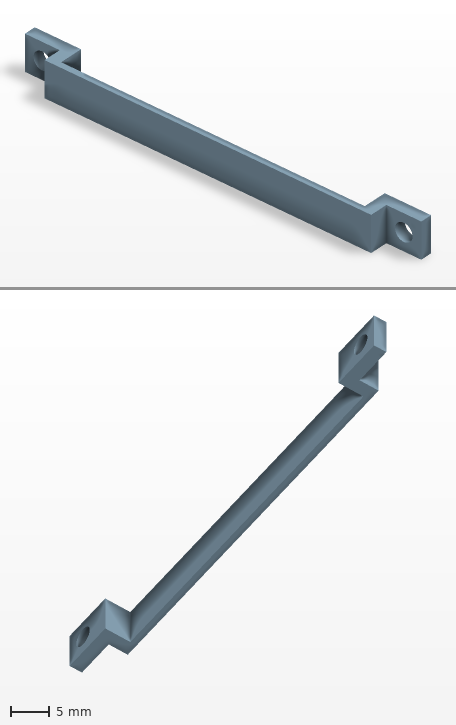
import cadquery as cq

length = 68.0
depth = 5.0
height = 6.0

tab_thickness = 2.0
leg_thickness = 2.0
strap_thickness = 1.0

tab_length = height
hole_diameter = 3.0

half_length = length / 2
leg_outer_x = half_length - tab_length
leg_inner_x = leg_outer_x - leg_thickness
tab_front_y = depth - tab_thickness
hole_x = half_length - tab_length / 2


def bracket_body():
    """Extrude the stepped strap outline along Z, from the mirrored half outline."""
    right_half = [
        (0, 0),
        (leg_outer_x, 0),
        (leg_outer_x, tab_front_y),
        (half_length, tab_front_y),
        (half_length, depth),
        (leg_inner_x, depth),
        (leg_inner_x, strap_thickness),
        (0, strap_thickness),
    ]
    return cq.Workplane("XY").polyline(right_half).mirrorY().extrude(height)


def tab_holes():
    """Round cutters along Y through the centre of both tabs."""
    return (
        cq.Workplane("XZ", origin=(0, depth, height / 2))
        .pushPoints([(-hole_x, 0), (hole_x, 0)])
        .circle(hole_diameter / 2)
        .extrude(tab_thickness)
    )


result = bracket_body().cut(tab_holes())